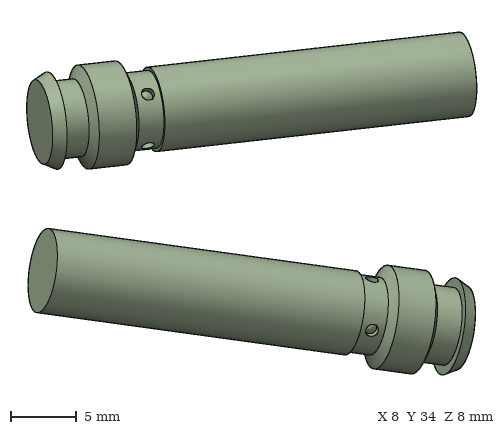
import cadquery as cq
import math

shaft_radius = 3.25
neck_radius = 3.0
collar_radius = 4.0
head_face_radius = 3.25
head_rim_radius = 3.75

total_length = 34.0
head_length = 1.0
front_neck_length = 2.0
collar_length = 4.0
collar_chamfer_length = 0.5
rear_neck_length = 2.0

hole_count = 4
hole_first_angle = 45.0
hole_radius = 0.5
hole_wall_depth = 0.55
floor_cone_height = 0.25

collar_front = head_length + front_neck_length
collar_rear = collar_front + collar_length
shaft_front = collar_rear + rear_neck_length
hole_station = collar_rear + rear_neck_length / 2


def make_turned_body():
    """Revolve the half profile (radius, Y) about the Y axis."""
    profile = [
        (0, 0),
        (head_face_radius, 0),
        (head_rim_radius, head_length),
        (neck_radius, head_length),
        (neck_radius, collar_front),
        (collar_radius, collar_front + collar_chamfer_length),
        (collar_radius, collar_rear - collar_chamfer_length),
        (neck_radius, collar_rear),
        (neck_radius, shaft_front),
        (shaft_radius, shaft_front),
        (shaft_radius, total_length),
        (0, total_length),
    ]
    return cq.Workplane("XY").polyline(profile).close().revolve(360, (0, 0, 0), (0, 1, 0))


def make_hole_cutter(angle):
    """Revolve the hole's half profile (radius, distance from the pin axis) about a radial line."""
    floor_edge = neck_radius - hole_wall_depth
    floor_peak = floor_edge + floor_cone_height
    profile = [
        (0, floor_peak),
        (hole_radius, floor_edge),
        (hole_radius, shaft_radius),
        (0, shaft_radius),
    ]
    across = (math.sin(math.radians(angle)), 0, -math.cos(math.radians(angle)))
    hole_plane = cq.Plane(origin=(0, hole_station, 0), xDir=across, normal=(0, 1, 0))
    return cq.Workplane(hole_plane).polyline(profile).close().revolve(360, (0, 0, 0), (0, 1, 0))


result = make_turned_body()
for index in range(hole_count):
    hole_angle = hole_first_angle + index * 360 / hole_count
    result = result.cut(make_hole_cutter(hole_angle))